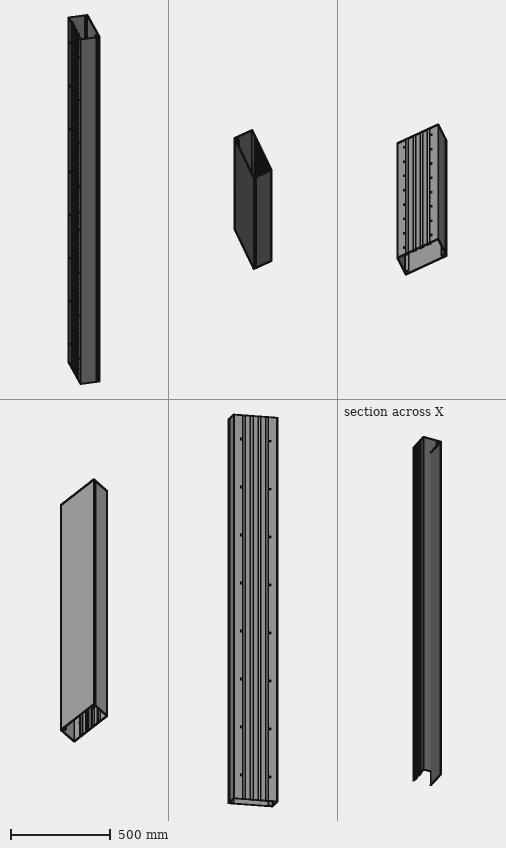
import cadquery as cq
WIDTH = 230.0
DEPTH = 100.0
LENGTH = 2000.0

WALL = 3.0

SKIRT_DEPTH = 13.0

FLANGE_WIDTH = 25.0

RIB_COUNT = 4
RIB_SPACING = 40.0
RIB_HEIGHT = 5.0
RIB_ROOT_WIDTH = 15.0
RIB_TOP_WIDTH = 20.0

HOLE_DIAMETER = 5.0
HOLE_COLUMNS = 2
HOLE_COLUMN_SPACING = 150.0
HOLE_ROWS = 8
HOLE_PITCH = LENGTH / HOLE_ROWS

HALF_WIDTH = WIDTH / 2
FLOOR_OUTSIDE = -DEPTH / 2
FLOOR_INSIDE = FLOOR_OUTSIDE + WALL
LID_OUTSIDE = DEPTH / 2
LID_INSIDE = LID_OUTSIDE - WALL
SEAM = LID_OUTSIDE - SKIRT_DEPTH


def full_length(points):
    """Extrude a closed XY outline over the whole length of the trunking."""
    return (
        cq.Workplane("XY", origin=(0, 0, -LENGTH / 2))
        .polyline(points)
        .close()
        .extrude(LENGTH)
    )


def mirrored_outline(right_half):
    """Complete an outline given from the bottom to the top of its right half."""
    left_half = [(-x, y) for x, y in reversed(right_half)]
    return right_half + left_half


def make_rib(x):
    """Dovetail rib centred on x; its foot reaches through the floor to join it."""
    root = RIB_ROOT_WIDTH / 2
    top = RIB_TOP_WIDTH / 2
    outline = mirrored_outline([
        (root, FLOOR_OUTSIDE),
        (root, FLOOR_INSIDE),
        (top, FLOOR_INSIDE + RIB_HEIGHT),
    ])
    return full_length(outline).translate((x, 0, 0))


def make_mounting_holes():
    return (
        cq.Workplane("XZ", origin=(0, FLOOR_OUTSIDE, 0))
        .rarray(HOLE_COLUMN_SPACING, HOLE_PITCH, HOLE_COLUMNS, HOLE_ROWS)
        .circle(HOLE_DIAMETER / 2)
        .extrude(-WALL)
    )


def make_tray():
    """C-shaped channel with inward flanges, floor ribs and mounting holes."""
    inner_wall = HALF_WIDTH - WALL
    flange_tip = HALF_WIDTH - FLANGE_WIDTH
    right_side = [
        (HALF_WIDTH, FLOOR_OUTSIDE),
        (HALF_WIDTH, SEAM),
        (flange_tip, SEAM),
        (flange_tip, SEAM - WALL),
        (inner_wall, SEAM - WALL),
        (inner_wall, FLOOR_INSIDE),
    ]
    tray = full_length(mirrored_outline(right_side))
    for index in range(RIB_COUNT):
        x = (index - (RIB_COUNT - 1) / 2) * RIB_SPACING
        tray = tray.union(make_rib(x))
    return tray.cut(make_mounting_holes())


def make_lid():
    """Flat cover with a short skirt along each side, flush with the tray walls."""
    inner_skirt = HALF_WIDTH - WALL
    outline = mirrored_outline([
        (inner_skirt, LID_INSIDE),
        (inner_skirt, SEAM),
        (HALF_WIDTH, SEAM),
        (HALF_WIDTH, LID_OUTSIDE),
    ])
    return full_length(outline)


tray = make_tray()
lid = make_lid()

result = cq.Compound.makeCompound([tray.val(), lid.val()])